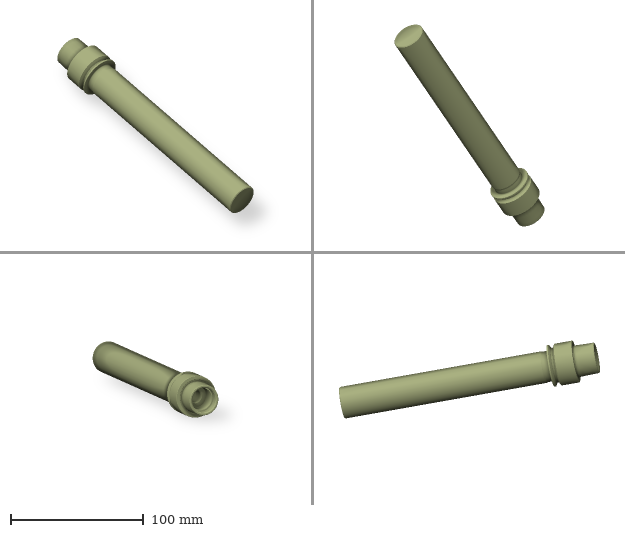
import cadquery as cq
import math

length = 196.0
collar_radius = 32.0 / 2

shank_tip_radius = 23.3 / 2
shank_base_radius = 24.1 / 2
shank_tip_chamfer = 0.4
relief_radius = 23.3 / 2
relief_start = 15.0
collar_start = 16.0
face_recess_radius = 26.5 / 2
face_recess_depth = 0.2

collar_end = 35.5
collar_chamfer = 0.2
groove_radius = 26.5 / 2
groove_start = 29.8
groove_floor_width = 1.4
groove_flank_angle = 30.0
groove_flank = (collar_radius - groove_radius) * math.tan(math.radians(groove_flank_angle))
groove_floor_start = groove_start + groove_flank
groove_floor_end = groove_floor_start + groove_floor_width
groove_end = groove_floor_end + groove_flank

neck_radius = 23.3 / 2
neck_fillet = 0.5
neck_end = 39.5
body_start = 41.0
body_radius = 24.1 / 2
body_chamfer = 0.5

mouth_radius = 20.5 / 2
mouth_chamfer = 0.88
bore_radius = 17.0 / 2
mouth_depth = 6.0
bore_depth = 17.6
pilot_rim_radius = 10.5 / 2
pilot_radius = 9.0 / 2
pilot_depth = 27.5
drill_tip_angle = 118.0
pilot_chamfer = pilot_rim_radius - pilot_radius
drill_tip = pilot_radius / math.tan(math.radians(drill_tip_angle / 2))


def revolve_about_x(profile):
    """Turn a closed (x, radius) profile a full revolution about the X axis."""
    return profile.close().revolve(360, (0, 0, 0), (1, 0, 0))


def outer_body():
    arc_offset = neck_fillet * (1 - math.sqrt(0.5))
    profile = (
        cq.Workplane("XY")
        .moveTo(0, 0)
        .lineTo(0, shank_tip_radius - shank_tip_chamfer)
        .lineTo(shank_tip_chamfer, shank_tip_radius)
        .lineTo(relief_start, shank_base_radius)
        .lineTo(relief_start + shank_base_radius - relief_radius, relief_radius)
        .lineTo(collar_start + face_recess_depth, relief_radius)
        .lineTo(collar_start + face_recess_depth, face_recess_radius - face_recess_depth)
        .lineTo(collar_start, face_recess_radius)
        .lineTo(collar_start, collar_radius - collar_chamfer)
        .lineTo(collar_start + collar_chamfer, collar_radius)
        .lineTo(groove_start, collar_radius)
        .lineTo(groove_floor_start, groove_radius)
        .lineTo(groove_floor_end, groove_radius)
        .lineTo(groove_end, collar_radius)
        .lineTo(collar_end - collar_chamfer, collar_radius)
        .lineTo(collar_end, collar_radius - collar_chamfer)
        .lineTo(collar_end, neck_radius + neck_fillet)
        .threePointArc(
            (collar_end + arc_offset, neck_radius + arc_offset),
            (collar_end + neck_fillet, neck_radius),
        )
        .lineTo(neck_end, neck_radius)
        .lineTo(body_start, body_radius)
        .lineTo(length - body_chamfer, body_radius)
        .lineTo(length, body_radius - body_chamfer)
        .lineTo(length, 0)
    )
    return revolve_about_x(profile)


def stepped_bore():
    profile = (
        cq.Workplane("XY")
        .moveTo(0, 0)
        .lineTo(0, mouth_radius)
        .lineTo(mouth_chamfer, mouth_radius - mouth_chamfer)
        .lineTo(mouth_depth, mouth_radius - mouth_chamfer)
        .lineTo(mouth_depth, bore_radius)
        .lineTo(bore_depth, bore_radius)
        .lineTo(bore_depth, pilot_rim_radius)
        .lineTo(bore_depth + pilot_chamfer, pilot_radius)
        .lineTo(pilot_depth, pilot_radius)
        .lineTo(pilot_depth + drill_tip, 0)
    )
    return revolve_about_x(profile)


result = outer_body().cut(stepped_bore())